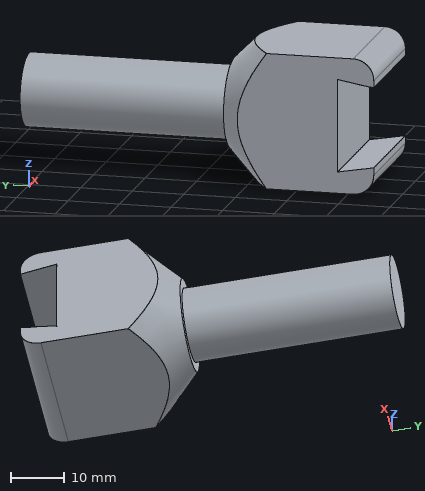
import cadquery as cq
import math

total_length = 70.0
head_length = 30.0
head_width = 25.0
head_height = 26.4
shank_diameter = 14.2
shank_length = total_length - head_length

lip_radius = 4.0
slot_depth = 7.0
slot_floor_height = 18.0
slot_flank_angle = 10.0
slot_mouth_height = slot_floor_height - 2 * slot_depth * math.tan(math.radians(slot_flank_angle))

cone_end_radius = 8.95
corner_radius = math.hypot(head_width, head_height) / 2
cone_length = corner_radius - cone_end_radius


def make_head_block():
    """Rectangular block with rounded outer edges at its mouth."""
    block = cq.Workplane("XY").box(head_width, head_length, head_height, centered=(True, False, True))
    return block.faces("<Y").edges("|X").fillet(lip_radius)


def make_cone_envelope():
    """Turned body whose cone bevels the corners of the head."""
    return (
        cq.Workplane("XY")
        .moveTo(0, 0)
        .lineTo(corner_radius, 0)
        .lineTo(corner_radius, head_length - cone_length)
        .lineTo(cone_end_radius, head_length)
        .lineTo(0, head_length)
        .close()
        .revolve(360, (0, 0, 0), (0, 1, 0))
    )


def make_slot():
    """Dovetail slot running across the full width of the head."""
    return (
        cq.Workplane("YZ")
        .polyline([
            (0, -slot_mouth_height / 2),
            (slot_depth, -slot_floor_height / 2),
            (slot_depth, slot_floor_height / 2),
            (0, slot_mouth_height / 2),
        ])
        .close()
        .extrude(head_width / 2, both=True)
    )


def make_shank():
    """Round shank, started inside the head so that the two join solidly."""
    overlap = head_length - slot_depth - cone_length
    return (
        cq.Workplane("XZ", origin=(0, head_length - overlap, 0))
        .circle(shank_diameter / 2)
        .extrude(-(shank_length + overlap))
    )


head = make_head_block().intersect(make_cone_envelope()).cut(make_slot())
result = head.union(make_shank())